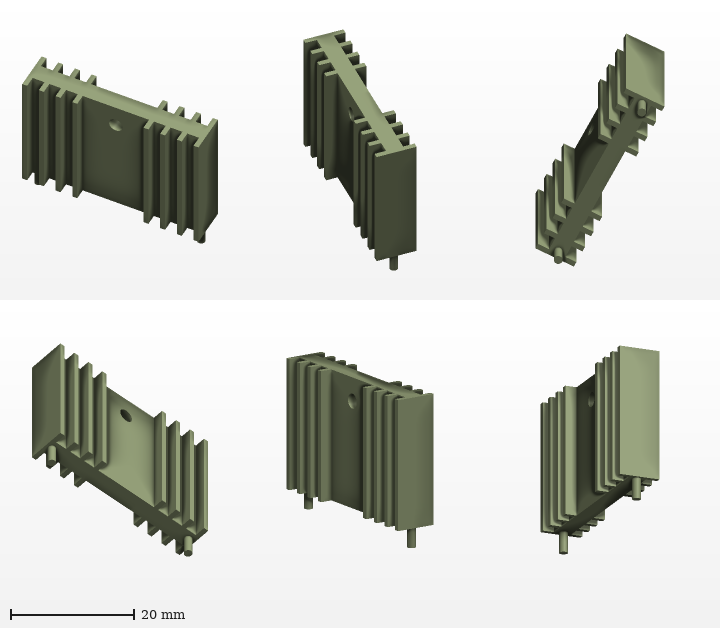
import cadquery as cq

width = 32.0
depth = 7.0
body_height = 22.0
plate_thickness = 3.0

fins_per_group = 4
fin_thickness = 0.9
center_gap = 12.03
group_width = (width - center_gap) / 2
fin_pitch = (group_width - fin_thickness) / (fins_per_group - 1)

hole_diameter = 2.5
hole_below_top = 4.0

pin_diameter = 1.4
pin_length = 3.5
pin_inset = 1.25


def upright_block(size_x, size_y, center_x=0):
    """Full-height block standing on Z = 0, centred in Y."""
    block = cq.Workplane("XY").box(size_x, size_y, body_height, centered=(True, True, False))
    return block.translate((center_x, 0, 0))


def add_fins(body):
    """Fins pass through the plate, so each one serves both faces."""
    for index in range(fins_per_group):
        fin_x = (width - fin_thickness) / 2 - index * fin_pitch
        for side in (-1, 1):
            body = body.union(upright_block(fin_thickness, depth, side * fin_x))
    return body


def cut_mounting_hole(body):
    hole = (
        cq.Workplane("XZ")
        .center(0, body_height - hole_below_top)
        .circle(hole_diameter / 2)
        .extrude(depth / 2, both=True)
    )
    return body.cut(hole)


def add_pins(body):
    pin_x = width / 2 - pin_inset
    pins = (
        cq.Workplane("XY")
        .pushPoints([(-pin_x, 0), (pin_x, 0)])
        .circle(pin_diameter / 2)
        .extrude(-pin_length)
    )
    return body.union(pins)


plate = upright_block(width, plate_thickness)
finned_body = add_fins(plate)
drilled_body = cut_mounting_hole(finned_body)
result = add_pins(drilled_body)